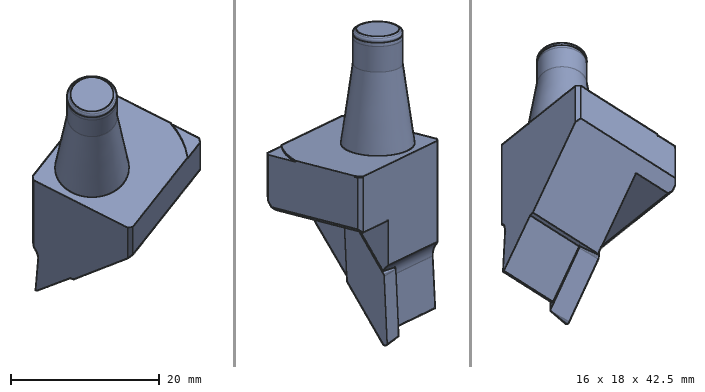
import cadquery as cq
import math

BLOCK_WIDTH = 16.0
BLOCK_DEPTH = 18.0
BLOCK_TOP = 26.1
CORNER_CHAMFER = 0.5

NOSE_DEPTH = 11.77
LEDGE_HEIGHT = 18.0

SLOPE_TOP_Z = 19.85
SLOPE_END = (6.85, 8.37)
RECESS_CORNER = (6.3, 8.25)
TIP_RIGHT = (0.98, 1.65)
TIP_LEFT = (0.75, 1.65)
RELIEF_RADIUS = 3.05
RELIEF_BOTTOM = (1.2, 9.15)
RELIEF_TOP_Z = 11.55

CORNER_RADIUS = 13.0
CORNER_DROP = 0.15

SHANK_X = 6.0
SHANK_Y = 6.0
SHANK_TOP = 42.5
SHANK_BASE_DIAMETER = 10.0
SHANK_DIAMETER = 6.75
CONE_TOP = 37.55
NECK_BOTTOM = 41.25
NECK_TOP = 41.75
NECK_RADIUS = 3.3
BEAD_MIDDLE = (3.38, 42.05)
END_CHAMFER_START = (3.125, 42.35)
END_FACE_RADIUS = 2.9

INSERT_SIDE = 11.0
INSERT_THICKNESS = 3.2
INSERT_PROUD = 0.25
INSERT_ANGLE = 35
INSERT_LEAN = 3
INSERT_RELIEF_ANGLE = 7
INSERT_CORNER_RADIUS = 0.405


def side_profile():
    """Side outline of the block and its pointed nose, through the full depth."""
    return (
        cq.Workplane("XZ")
        .moveTo(0, BLOCK_TOP)
        .lineTo(BLOCK_WIDTH, BLOCK_TOP)
        .lineTo(BLOCK_WIDTH, SLOPE_TOP_Z)
        .lineTo(*SLOPE_END)
        .lineTo(*RECESS_CORNER)
        .lineTo(*TIP_RIGHT)
        .lineTo(*TIP_LEFT)
        .lineTo(*RELIEF_BOTTOM)
        .radiusArc((0, RELIEF_TOP_Z), -RELIEF_RADIUS)
        .close()
        .extrude(-BLOCK_DEPTH)
    )


def chamfered_envelope():
    """Stepped envelope with chamfered edges that trims the side outline."""
    upper = (
        cq.Workplane("XY", origin=(0, 0, LEDGE_HEIGHT))
        .rect(BLOCK_WIDTH, BLOCK_DEPTH, centered=False)
        .extrude(BLOCK_TOP - LEDGE_HEIGHT)
        .edges("|Z or (>Y and <Z)")
        .chamfer(CORNER_CHAMFER)
    )
    lower = (
        cq.Workplane("XY")
        .rect(BLOCK_WIDTH, NOSE_DEPTH, centered=False)
        .extrude(LEDGE_HEIGHT + CORNER_CHAMFER)
        .edges("|Z and <Y")
        .chamfer(CORNER_CHAMFER)
    )
    return upper.union(lower)


def shank():
    """Tapered shank with a cylindrical end, a slight neck and a rounded bead below the end chamfer."""
    radius = SHANK_DIAMETER / 2
    return (
        cq.Workplane("XZ", origin=(SHANK_X, SHANK_Y, 0))
        .moveTo(0, BLOCK_TOP)
        .lineTo(SHANK_BASE_DIAMETER / 2, BLOCK_TOP)
        .lineTo(radius, CONE_TOP)
        .lineTo(radius, NECK_BOTTOM)
        .lineTo(NECK_RADIUS, NECK_TOP)
        .threePointArc(BEAD_MIDDLE, END_CHAMFER_START)
        .lineTo(END_FACE_RADIUS, SHANK_TOP)
        .lineTo(0, SHANK_TOP)
        .close()
        .revolve(360, (0, 0, 0), (0, 1, 0))
    )


def cutting_insert():
    """Rhombic insert with rounded corners; its sides taper in from the rear cutting face."""
    bisector = math.radians(INSERT_LEAN + INSERT_ANGLE / 2)
    corner_offset = INSERT_CORNER_RADIUS / math.sin(math.radians(INSERT_ANGLE / 2))
    tip_x = INSERT_CORNER_RADIUS - corner_offset * math.sin(bisector)
    tip_z = INSERT_CORNER_RADIUS - corner_offset * math.cos(bisector)
    steep = math.radians(INSERT_LEAN)
    shallow = math.radians(INSERT_LEAN + INSERT_ANGLE)
    left = (INSERT_SIDE * math.sin(steep), INSERT_SIDE * math.cos(steep))
    right = (INSERT_SIDE * math.sin(shallow), INSERT_SIDE * math.cos(shallow))
    far = (left[0] + right[0], left[1] + right[1])
    outline = (
        cq.Sketch()
        .polygon([(0, 0), right, far, left, (0, 0)])
        .vertices()
        .fillet(INSERT_CORNER_RADIUS)
    )
    return (
        cq.Workplane("XZ", origin=(tip_x, NOSE_DEPTH + INSERT_PROUD, tip_z))
        .placeSketch(outline)
        .extrude(INSERT_THICKNESS, taper=INSERT_RELIEF_ANGLE)
    )


def lowered_corner():
    """Thin slab removed from the block's top outside the circle around the shank."""
    slab = (
        cq.Workplane("XY", origin=(0, 0, BLOCK_TOP - CORNER_DROP))
        .rect(BLOCK_WIDTH, BLOCK_DEPTH, centered=False)
        .extrude(CORNER_DROP)
    )
    kept_disc = (
        cq.Workplane("XY", origin=(SHANK_X, SHANK_Y, BLOCK_TOP - CORNER_DROP))
        .circle(CORNER_RADIUS)
        .extrude(CORNER_DROP)
    )
    return slab.cut(kept_disc)


def holder(insert):
    """Block, nose and shank in one piece, with a recess that fits the insert."""
    block = side_profile().intersect(chamfered_envelope()).cut(lowered_corner())
    return block.union(shank()).cut(insert)


insert = cutting_insert()
tool_holder = holder(insert)

result = cq.Compound.makeCompound([tool_holder.solids().val(), insert.solids().val()])